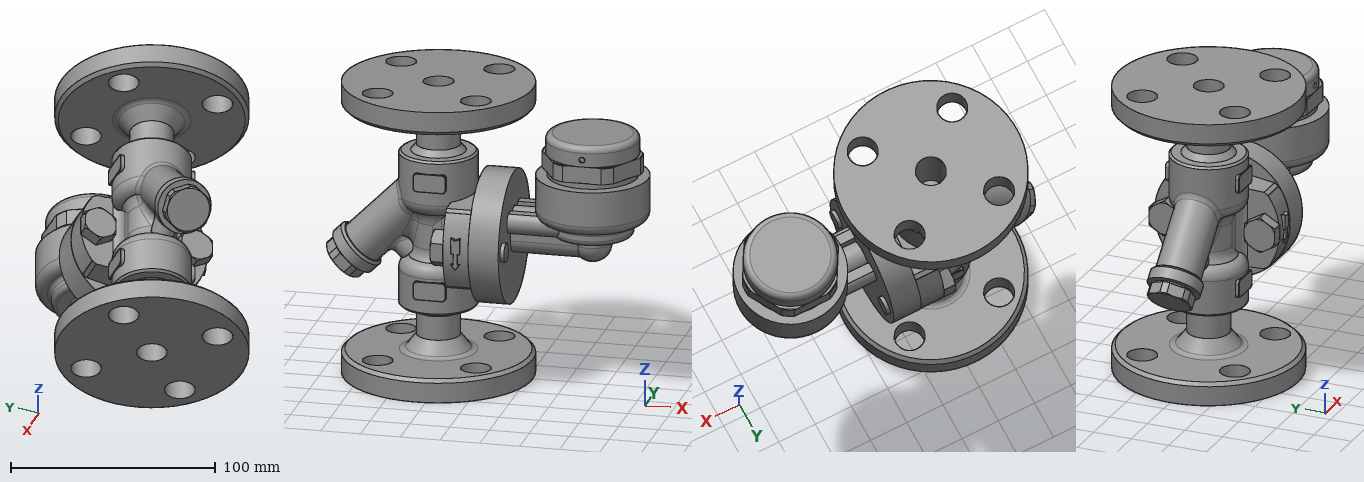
import cadquery as cq
import math

FACE_TO_FACE = 150.0
MID_Z = -2.0
TRAP_X = 77.5
MIN_X = -56.0

FLANGE_DIA = 95.0
FLANGE_THICKNESS = 12.0
FLANGE_CHAMFER = 1.8
BOLT_CIRCLE_DIA = 69.8
BOLT_HOLE_DIA = 15.0
BORE_DIA = 15.0
BORE_DEPTH = 32.0

NECK_FLARE_R = 19.2
NECK_CONE_R = 16.2
NECK_FLARE_H = 1.2
NECK_CONE_H = 6.6
PIPE_R = 21.7 / 2
PIPE_END_Z = 43.0
BODY_R = 39.0 / 2
BODY_END_Z = 39.8
BODY_CHAMFER = 1.1
WELD_CONE_R = 13.6
SHOULDER_Z = 19.0
SHOULDER_FOOT_Z = 12.4
WAIST_Z = 6.5
SHOULDER_FOOT_R = 14.5
WAIST_R = 12.4

PAD_WIDTH = 16.4
PAD_HEIGHT = 9.6
PAD_CORNER_R = 2.0
PAD_CHAMFER = 0.3
PAD_PLANE_Y = 19.7
UPPER_PAD_Z = 28.5
LOWER_PAD_Z = -27.3

STRAINER_ORIGIN_Z = 27.0
STRAINER_R = 23.0 / 2
COLLAR_R = 27.0 / 2
COLLAR_START = 53.7
COLLAR_END = 60.9
COLLAR_CHAMFER = 1.3
GROOVE_LENGTH = 1.2
PLUG_GROOVE_R = 10.0
PLUG_FLATS = 21.5
PLUG_CHAMFER = 0.8
PLUG_CORNER_R = 23.0 / 2
BRANCH_FILLET = 4.0
STUD_R = 11.6 / 2
STUD_FILLET = 3.0
STUD_DISTANCE = 38.4
STUD_LENGTH = 19.0

BLOCK_X = 10.1
DISC_X = 22.8
DISC_END_X = 38.0
DISC_R = 67.0 / 2
BLOCK_HALF_H = 20.4
BLOCK_R = 33.3
BLOCK_EDGE_Y = 25.1
BLOCK_EDGE_BEVEL = 1.4
BEVEL_SPREAD = 1.5
BLOCK_ARCH = 0.6
BLOCK_DISC_ARCH = 2.3
SADDLE_FLARE_X = 4.4
SADDLE_END_Y = 16.3
BOLT_Y = 25.4
BOLT_FLATS = 16.2
BOLT_HEAD_X = 3.7
BOLT_CHAMFER = 1.0
BOLT_TIP_R = 9.5 / 2
BOLT_TIP_X = 40.0

ARROW_X = 16.5
ARROW_TOP_Z = 6.1
ARROW_TIP_Z = -9.9
ARROW_STEP_Z = -1.8
ARROW_HEAD_Z = -7.2
ARROW_NOTCH = 1.0
ARROW_WIDE = 2.2
ARROW_NARROW = 0.9
ARROW_PLANE_Y = 34.3

ARM_R = 15.4 / 2
ARM_TOP_Z = 13.5
WING_BOTTOM_Z = 3.5
WING_INNER_Y = 7.3
WING_FLAT_Y = 12.4
WING_OUTER_Y = 15.4

TRAP_R = 56.0 / 2
TRAP_TOP_Z = 33.0
TRAP_SHOULDER_Z = 15.2
TRAP_FILLET = 5.4
TRAP_NECK_FILLET = 2.0
TRAP_NECK_R = 20.2
TRAP_NECK_LOW_Z = 5.1
TRAP_NECK_END_Z = 2.4
BALL_R = 9.5
BALL_FILLET = 2.0
NUT_NECK_R = 22.4
NUT_BOTTOM_Z = 36.0
NUT_TOP_Z = 44.5
NUT_FLATS = 46.1
NUT_CORNER_R = 25.0
NUT_CHAMFER = 0.5
CAP_R = 46.1 / 2
CAP_TOP_Z = 54.7
CAP_FILLET = 3.2
DIMPLE_R = 1.4
DIMPLE_Z = 48.0
DIMPLE_DEPTH = 1.0


def tangent_radius(run, offset):
    """Radius of an arc that leaves a line tangentially and strays by offset over the run."""
    return (run ** 2 + offset ** 2) / (2 * offset)


def cylinder_x(radius, x_start, x_end, y=0.0, z=MID_Z):
    """Cylinder along +X."""
    return cq.Workplane("YZ", origin=(x_start, y, z)).circle(radius).extrude(x_end - x_start)


def trimmed_hexagon(plane, flats, corner_r, length, chamfer):
    """Hexagonal prism trimmed by a cylinder chamfered at its far end; flats face +Y and -Y."""
    prism = cq.Workplane(plane).polygon(6, flats / math.cos(math.pi / 6)).extrude(length)
    trim = cq.Workplane(plane).circle(corner_r).extrude(length)
    trim = trim.faces(cq.DirectionMinMaxSelector(plane.zDir, True)).edges()
    return prism.intersect(trim.chamfer(chamfer / 2, chamfer))


def make_flange_end():
    """Upper flange with its welding neck, down to the valve body."""
    half = FACE_TO_FACE / 2
    back = half - FLANGE_THICKNESS
    cone_z = back - NECK_FLARE_H
    flange_r = FLANGE_DIA / 2
    outline = (
        cq.Workplane("XZ")
        .moveTo(0, half)
        .lineTo(flange_r, half)
        .lineTo(flange_r, back + FLANGE_CHAMFER)
        .lineTo(flange_r - FLANGE_CHAMFER, back)
        .lineTo(NECK_FLARE_R, back)
        .tangentArcPoint((NECK_CONE_R, cone_z), relative=False)
        .lineTo(PIPE_R, cone_z - NECK_CONE_H)
        .lineTo(PIPE_R, PIPE_END_Z)
        .lineTo(WELD_CONE_R, BODY_END_Z)
        .lineTo(0, BODY_END_Z)
        .close()
    )
    flange = outline.revolve(360, (0, 0, 0), (0, 1, 0))
    hole_pitch = BOLT_CIRCLE_DIA / math.sqrt(2)
    holes = (
        cq.Workplane("XY", origin=(0, 0, back))
        .rect(hole_pitch, hole_pitch, forConstruction=True)
        .vertices()
        .circle(BOLT_HOLE_DIA / 2)
        .extrude(FLANGE_THICKNESS)
    )
    return flange.cut(holes)


def make_bore():
    """Blind bore from the upper flange face."""
    start = FACE_TO_FACE / 2 - BORE_DEPTH
    return cq.Workplane("XY", origin=(0, 0, start)).circle(BORE_DIA / 2).extrude(BORE_DEPTH)


def make_body():
    """Two cylindrical chambers joined by a narrow waist."""
    drop = SHOULDER_Z - SHOULDER_FOOT_Z
    rise = SHOULDER_FOOT_Z - WAIST_Z
    shoulder_r = tangent_radius(drop, BODY_R - SHOULDER_FOOT_R)
    waist_arc_r = tangent_radius(rise, SHOULDER_FOOT_R - WAIST_R)
    outline = (
        cq.Workplane("XZ")
        .moveTo(0, BODY_END_Z)
        .lineTo(BODY_R - BODY_CHAMFER, BODY_END_Z)
        .lineTo(BODY_R, BODY_END_Z - BODY_CHAMFER)
        .lineTo(BODY_R, MID_Z + SHOULDER_Z)
        .radiusArc((SHOULDER_FOOT_R, MID_Z + SHOULDER_FOOT_Z), shoulder_r)
        .radiusArc((WAIST_R, MID_Z + WAIST_Z), -waist_arc_r)
        .lineTo(WAIST_R, MID_Z - WAIST_Z)
        .radiusArc((SHOULDER_FOOT_R, MID_Z - SHOULDER_FOOT_Z), -waist_arc_r)
        .radiusArc((BODY_R, MID_Z - SHOULDER_Z), shoulder_r)
        .lineTo(BODY_R, -BODY_END_Z + BODY_CHAMFER)
        .lineTo(BODY_R - BODY_CHAMFER, -BODY_END_Z)
        .lineTo(0, -BODY_END_Z)
        .close()
    )
    return outline.revolve(360, (0, 0, 0), (0, 1, 0))


def make_pads():
    """Rounded flat pads on both sides of each chamber."""
    pads = cq.Workplane("XY")
    for z in (UPPER_PAD_Z, LOWER_PAD_Z):
        pad = cq.Workplane("XY", origin=(0, 0, z)).box(PAD_WIDTH, 2 * PAD_PLANE_Y, PAD_HEIGHT)
        pad = pad.edges("|Y").fillet(PAD_CORNER_R)
        pads = pads.add(pad.faces("<Y or >Y").chamfer(PAD_CHAMFER))
    return pads.combine()


def fillet_intersections(solid, radius):
    """Round the edges where curved surfaces cross, which are neither straight nor circular."""
    edges = [edge for edge in solid.edges().vals() if edge.geomType() not in ("LINE", "CIRCLE")]
    return solid.newObject(edges).fillet(radius)


def strainer_plane(distance):
    """Plane across the strainer axis, its normal pointing down and outwards."""
    step = distance / math.sqrt(2)
    return cq.Plane(origin=(-step, 0, STRAINER_ORIGIN_Z - step), xDir=(1, 0, -1), normal=(-1, 0, -1))


def make_branch():
    """Plain tube of the strainer."""
    return cq.Workplane(strainer_plane(0)).circle(STRAINER_R).extrude(COLLAR_START + COLLAR_CHAMFER)


def make_strainer_end():
    """Collar, groove and hexagonal plug."""
    collar = cq.Workplane(strainer_plane(COLLAR_START)).circle(COLLAR_R)
    collar = collar.extrude(COLLAR_END - COLLAR_START).edges(">Z").chamfer(COLLAR_CHAMFER)
    groove_plane = strainer_plane(COLLAR_END)
    groove = cq.Workplane(groove_plane).circle(PLUG_GROOVE_R).extrude(GROOVE_LENGTH)
    end = math.sqrt(2) * -MIN_X - PLUG_CORNER_R + PLUG_CHAMFER / 2
    start = COLLAR_END + GROOVE_LENGTH
    plug = trimmed_hexagon(strainer_plane(start), PLUG_FLATS, PLUG_CORNER_R, end - start, PLUG_CHAMFER)
    return collar.union(groove).union(plug)


def make_stud():
    """Short stud at right angles to the strainer, ending in the lower chamber."""
    step = STUD_DISTANCE / math.sqrt(2)
    plane = cq.Plane(origin=(-step, 0, STRAINER_ORIGIN_Z - step), xDir=(0, 1, 0), normal=(1, 0, -1))
    return cq.Workplane(plane).circle(STUD_R).extrude(STUD_LENGTH)


def make_block_envelope():
    """Bevelled bar along X whose arched top and bottom grow towards the disc."""
    bevel_z = BLOCK_HALF_H - BLOCK_EDGE_BEVEL
    bevel_y = BLOCK_EDGE_Y + BLOCK_EDGE_BEVEL * BEVEL_SPREAD
    envelope = cq.Workplane("YZ", origin=(BLOCK_X, 0, MID_Z))
    for offset, arch in ((0, BLOCK_ARCH), (DISC_X - BLOCK_X, BLOCK_DISC_ARCH)):
        envelope = (
            envelope.workplane(offset=offset)
            .moveTo(-BLOCK_EDGE_Y, BLOCK_HALF_H)
            .threePointArc((0, BLOCK_HALF_H + arch), (BLOCK_EDGE_Y, BLOCK_HALF_H))
            .lineTo(bevel_y, bevel_z)
            .lineTo(DISC_R, bevel_z)
            .lineTo(DISC_R, -bevel_z)
            .lineTo(bevel_y, -bevel_z)
            .lineTo(BLOCK_EDGE_Y, -BLOCK_HALF_H)
            .threePointArc((0, -BLOCK_HALF_H - arch), (-BLOCK_EDGE_Y, -BLOCK_HALF_H))
            .lineTo(-bevel_y, -bevel_z)
            .lineTo(-DISC_R, -bevel_z)
            .lineTo(-DISC_R, bevel_z)
            .lineTo(-bevel_y, bevel_z)
            .close()
        )
    return envelope.loft(ruled=True)


def make_cover():
    """Saddle, arched block and disc."""
    block = cylinder_x(BLOCK_R, BLOCK_X, DISC_X).intersect(make_block_envelope())
    flare_x = BLOCK_X - SADDLE_FLARE_X
    flare_y = SADDLE_END_Y - WAIST_R
    flare_r = tangent_radius(flare_x, flare_y)
    saddle = (
        cq.Workplane("XY", origin=(0, 0, MID_Z - SHOULDER_Z))
        .moveTo(0, -WAIST_R)
        .lineTo(SADDLE_FLARE_X, -WAIST_R)
        .radiusArc((BLOCK_X, -SADDLE_END_Y), flare_r)
        .lineTo(BLOCK_X, SADDLE_END_Y)
        .radiusArc((SADDLE_FLARE_X, WAIST_R), flare_r)
        .lineTo(0, WAIST_R)
        .close()
        .extrude(2 * SHOULDER_Z)
    )
    return block.union(saddle).union(cylinder_x(DISC_R, DISC_X, DISC_END_X))


def make_bolts():
    """Two hexagon bolts through the cover, tips showing behind the disc."""
    corner_r = BOLT_FLATS / math.sqrt(3)
    bolts = cq.Workplane("XY")
    for y in (-BOLT_Y, BOLT_Y):
        plane = cq.Plane(origin=(BLOCK_X, y, MID_Z), xDir=(0, 0, 1), normal=(-1, 0, 0))
        head = trimmed_hexagon(plane, BOLT_FLATS, corner_r, BLOCK_X - BOLT_HEAD_X, BOLT_CHAMFER)
        tip = cylinder_x(BOLT_TIP_R, BLOCK_X, BOLT_TIP_X, y)
        bolts = bolts.add(head.union(tip))
    return bolts.combine()


def make_arrow():
    """Raised flow arrow on the -Y side of the block."""
    right_side = [
        (ARROW_WIDE, ARROW_TOP_Z),
        (ARROW_WIDE, ARROW_STEP_Z),
        (ARROW_NARROW, ARROW_STEP_Z),
        (ARROW_NARROW, ARROW_HEAD_Z),
        (ARROW_WIDE, ARROW_HEAD_Z),
    ]
    left_side = [(-x, z) for x, z in reversed(right_side)]
    points = [(0, ARROW_TOP_Z - ARROW_NOTCH)] + right_side + [(0, ARROW_TIP_Z)] + left_side
    depth = ARROW_PLANE_Y - BOLT_Y
    plane = cq.Workplane("XZ", origin=(ARROW_X, -BOLT_Y, 0))
    return plane.polyline(points).close().extrude(depth)


def make_arm():
    """Central rib with round top and bottom, and a rounded wing on each side."""
    length = TRAP_X - DISC_X
    start = (DISC_X, 0, 0)
    top_center = ARM_TOP_Z - ARM_R
    arm = (
        cq.Workplane("YZ", origin=start)
        .moveTo(-ARM_R, MID_Z)
        .lineTo(-ARM_R, top_center)
        .threePointArc((0, ARM_TOP_Z), (ARM_R, top_center))
        .lineTo(ARM_R, MID_Z)
        .threePointArc((0, MID_Z - ARM_R), (-ARM_R, MID_Z))
        .close()
        .extrude(length)
    )
    for side in (-1, 1):
        wing = (
            cq.Workplane("YZ", origin=start)
            .moveTo(side * WING_INNER_Y, WING_BOTTOM_Z)
            .lineTo(side * WING_FLAT_Y, WING_BOTTOM_Z)
            .threePointArc(
                (side * WING_OUTER_Y, (WING_BOTTOM_Z + ARM_TOP_Z) / 2),
                (side * WING_FLAT_Y, ARM_TOP_Z),
            )
            .lineTo(side * WING_INNER_Y, ARM_TOP_Z)
            .close()
            .extrude(length)
        )
        arm = arm.union(wing)
    return arm


def make_trap():
    """Turned trap housing with a ball end below and a hexagonal cap above."""
    foot_z = TRAP_SHOULDER_Z - TRAP_FILLET
    neck_fillet = TRAP_NECK_LOW_Z - TRAP_NECK_END_Z
    outline = (
        cq.Workplane("XZ", origin=(TRAP_X, 0, 0))
        .moveTo(0, MID_Z - BALL_R)
        .radiusArc((BALL_R, MID_Z), -BALL_R)
        .lineTo(BALL_R, TRAP_NECK_END_Z - BALL_FILLET)
        .radiusArc((BALL_R + BALL_FILLET, TRAP_NECK_END_Z), BALL_FILLET)
        .lineTo(TRAP_NECK_R - neck_fillet, TRAP_NECK_END_Z)
        .radiusArc((TRAP_NECK_R, TRAP_NECK_LOW_Z), -neck_fillet)
        .lineTo(TRAP_NECK_R, foot_z - TRAP_NECK_FILLET)
        .radiusArc((TRAP_NECK_R + TRAP_NECK_FILLET, foot_z), TRAP_NECK_FILLET)
        .lineTo(TRAP_R - TRAP_FILLET, foot_z)
        .radiusArc((TRAP_R, TRAP_SHOULDER_Z), -TRAP_FILLET)
        .lineTo(TRAP_R, TRAP_TOP_Z)
        .lineTo(NUT_NECK_R, TRAP_TOP_Z)
        .lineTo(NUT_NECK_R, NUT_TOP_Z)
        .lineTo(CAP_R, NUT_TOP_Z)
        .lineTo(CAP_R, CAP_TOP_Z - CAP_FILLET)
        .radiusArc((CAP_R - CAP_FILLET, CAP_TOP_Z), -CAP_FILLET)
        .lineTo(0, CAP_TOP_Z)
        .close()
    )
    housing = outline.revolve(360, (0, 0, 0), (0, 1, 0))
    nut_plane = cq.Plane(origin=(TRAP_X, 0, NUT_BOTTOM_Z))
    nut = trimmed_hexagon(nut_plane, NUT_FLATS, NUT_CORNER_R, NUT_TOP_Z - NUT_BOTTOM_Z, NUT_CHAMFER)
    dimple = (
        cq.Workplane("XZ", origin=(TRAP_X, -CAP_R + DIMPLE_DEPTH, DIMPLE_Z))
        .circle(DIMPLE_R)
        .extrude(2 * DIMPLE_DEPTH)
    )
    return housing.union(nut).cut(dimple)


body = make_body().union(make_branch())
body = fillet_intersections(body, BRANCH_FILLET)
branch_with_stud = fillet_intersections(make_branch().union(make_stud()), STUD_FILLET)
flange_end = make_flange_end()
result = (
    body
    .union(branch_with_stud)
    .union(make_pads())
    .union(make_strainer_end())
    .union(make_cover())
    .union(make_bolts())
    .union(make_arrow())
    .union(make_arm())
    .union(make_trap())
    .union(flange_end)
    .union(flange_end.mirror("XY"))
    .cut(make_bore())
    .cut(make_bore().mirror("XY"))
)